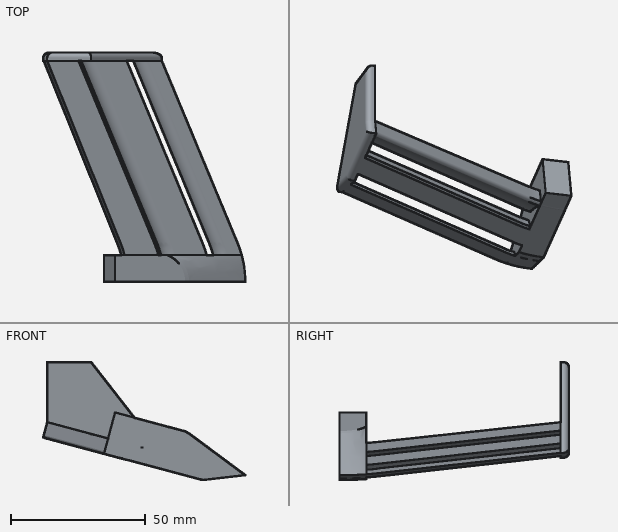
import cadquery as cq
import math

span = 85.2
tilt = 15.0
root_depth = 10.0
plate_thickness = 3.15
plate_inner = span - plate_thickness

block_length = 52.7
block_height = 15.85
block_top_length = 27.0
crease_width = 1.6
crease_drop = 0.4
nose_bevel = 14.8
slat_height = 5.9

wing_chord = 44.05
heel_round = 0.85
root_widening = 1.1
rear_slat_tip = 12.1
middle_slat_back = 14.3
middle_slat_top = 18.3
middle_slat_foot = 25.05
middle_slat_tip = 30.6
front_slat_back = 34.1
front_slat_top = 38.8
back_bulge = 1.45
slot_hollow = 0.5

sweep_angle = math.radians(23.3)
bend_radius = 36.6
crease_radius = 10.65
bend_end = bend_radius * math.sin(sweep_angle)

plate_fillet = 2.1
fin_top = 43.8
fin_top_front = 17.8

block_x = 22.6
block_z = 9.8


def arc_setback(radius, y):
    """Chordwise retreat of an arc that starts out along Y."""
    return radius - math.sqrt(radius ** 2 - y ** 2)


def sweep_setback(y):
    """Retreat of the slats: an arc at the root, then a straight sweep."""
    if y <= bend_end:
        return arc_setback(bend_radius, y)
    return arc_setback(bend_radius, bend_end) + (y - bend_end) * math.tan(sweep_angle)


def section_plane(y, setback=0.0):
    """Plane across the span with local axes U and N."""
    return cq.Workplane(cq.Plane((setback, y, 0), (1, 0, 0), (0, -1, 0)))


def loft_sections(section, stations, ruled=False):
    wires = [section(y).wire().val() for y in stations]
    return cq.Workplane(cq.Solid.makeLoft(wires, ruled))


def block_section(y):
    crease = block_top_length - arc_setback(crease_radius, y)
    setback = sweep_setback(y)
    points = [
        (0, 0),
        (block_length - nose_bevel - setback, 0),
        (block_length - setback, slat_height),
        (crease + crease_width, block_height - crease_drop),
        (crease, block_height),
        (0, block_height),
    ]
    return section_plane(y).polyline(points).close()


def slat_plane(y):
    return section_plane(y, block_length - wing_chord - sweep_setback(y))


def bowed(start, end, bow):
    """Midpoint of an arc; positive bow lies to the left of the travel direction."""
    du = end[0] - start[0]
    dn = end[1] - start[1]
    length = math.hypot(du, dn)
    return (
        (start[0] + end[0]) / 2 - dn / length * bow,
        (start[1] + end[1]) / 2 + du / length * bow,
    )


def rear_slat(y):
    rear = -root_widening * (1 - y / plate_inner)
    heel = (rear + 2 * heel_round, 0)
    tip = (rear_slat_tip, slat_height)
    return (
        slat_plane(y)
        .moveTo(rear, slat_height)
        .lineTo(rear, heel_round)
        .threePointArc(bowed((rear, heel_round), heel, -heel_round / 2), heel)
        .threePointArc(bowed(heel, tip, slot_hollow), tip)
        .close()
    )


def middle_slat(y):
    back = (middle_slat_back, heel_round)
    heel = (middle_slat_back + heel_round, 0)
    foot = (middle_slat_foot, 0)
    tip = (middle_slat_tip, slat_height)
    top = (middle_slat_top, slat_height)
    return (
        slat_plane(y)
        .moveTo(*top)
        .threePointArc(bowed(top, back, -back_bulge), back)
        .lineTo(*heel)
        .lineTo(*foot)
        .threePointArc(bowed(foot, tip, slot_hollow), tip)
        .close()
    )


def front_slat(y):
    bevel_start = wing_chord - nose_bevel
    back_height = (front_slat_back - bevel_start) * slat_height / nose_bevel
    back = (front_slat_back, back_height)
    top = (front_slat_top, slat_height)
    return (
        slat_plane(y)
        .moveTo(*top)
        .threePointArc(bowed(top, back, -back_bulge), back)
        .lineTo(wing_chord, slat_height)
        .close()
    )


def to_part(u, n):
    """X and Z of a point of the tilted wing."""
    angle = math.radians(tilt)
    return (
        block_x + u * math.cos(angle) + n * math.sin(angle),
        block_z - u * math.sin(angle) + n * math.cos(angle),
    )


def end_plate():
    trailing = block_length - wing_chord - sweep_setback(plate_inner)
    nose = trailing + wing_chord
    heel_top = to_part(trailing, slat_height)
    outline = [
        to_part(trailing, 0),
        to_part(nose - nose_bevel, 0),
        to_part(nose, slat_height),
        (fin_top_front, fin_top),
        (heel_top[0], fin_top),
        heel_top,
    ]
    plate = section_plane(plate_inner).polyline(outline).close().extrude(-plate_thickness)
    return plate.faces(">Y").edges().fillet(plate_fillet)


block_stations = [root_depth * i / 4 for i in range(5)]
bend_stations = [bend_end * i / 4 for i in range(5)]
straight_stations = [bend_end, plate_inner]

wing = loft_sections(block_section, block_stations)
for slat in (rear_slat, middle_slat, front_slat):
    wing = wing.union(loft_sections(slat, bend_stations))
    wing = wing.union(loft_sections(slat, straight_stations, ruled=True))
wing = wing.rotate((0, 0, 0), (0, 1, 0), tilt).translate((block_x, 0, block_z))

result = wing.union(end_plate())